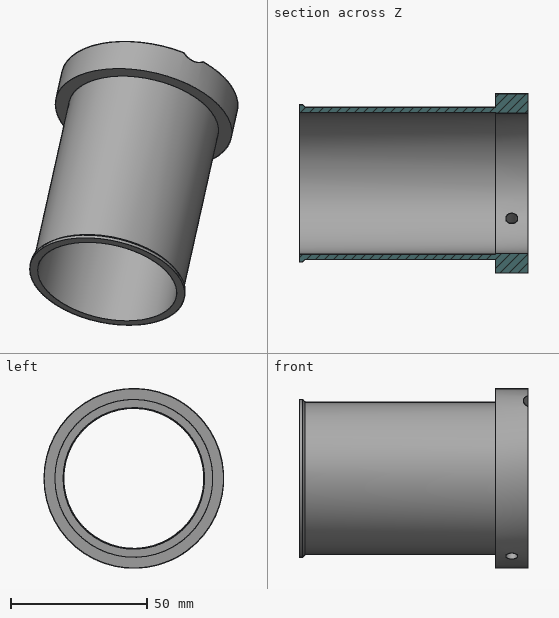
import cadquery as cq

length = 84.0
flange_diameter = 66.0
flange_length = 12.0
tube_diameter = 56.0
tube_bore_diameter = 52.0
flange_bore_diameter = 51.4

bead_diameter = 58.0
bead_flat_length = 1.2
bead_taper_length = (bead_diameter - tube_diameter) / 2

hole_diameter = 4.4
hole_angle = -120.0
notch_angle = 120.0
notch_radius = 5.7
notch_depth = 1.8

flange_start = length - flange_length
bead_end = bead_flat_length + bead_taper_length


def make_sleeve():
    """Revolve the stepped wall of the sleeve about X."""
    return (
        cq.Workplane("XY")
        .moveTo(0, tube_bore_diameter / 2)
        .lineTo(0, bead_diameter / 2)
        .lineTo(bead_flat_length, bead_diameter / 2)
        .lineTo(bead_end, tube_diameter / 2)
        .lineTo(flange_start, tube_diameter / 2)
        .lineTo(flange_start, flange_diameter / 2)
        .lineTo(length, flange_diameter / 2)
        .lineTo(length, flange_bore_diameter / 2)
        .lineTo(flange_start, flange_bore_diameter / 2)
        .lineTo(flange_start, tube_bore_diameter / 2)
        .close()
        .revolve(360, (0, 0, 0), (1, 0, 0))
    )


def radial_cutter(x, radius, angle):
    """Cylinder from the sleeve axis outward through one side of the wall."""
    cylinder = cq.Solid.makeCylinder(radius, flange_diameter, cq.Vector(x, 0, 0), cq.Vector(0, 1, 0))
    return cq.Workplane(cylinder).rotate((0, 0, 0), (1, 0, 0), angle)


hole = radial_cutter(length - flange_length / 2, hole_diameter / 2, hole_angle)
notch = radial_cutter(length - notch_depth + notch_radius, notch_radius, notch_angle)

notch_floor = cq.Workplane("YZ").circle(tube_diameter / 2).extrude(length + 2 * notch_radius)
notch = notch.cut(notch_floor)

result = make_sleeve().cut(hole).cut(notch)